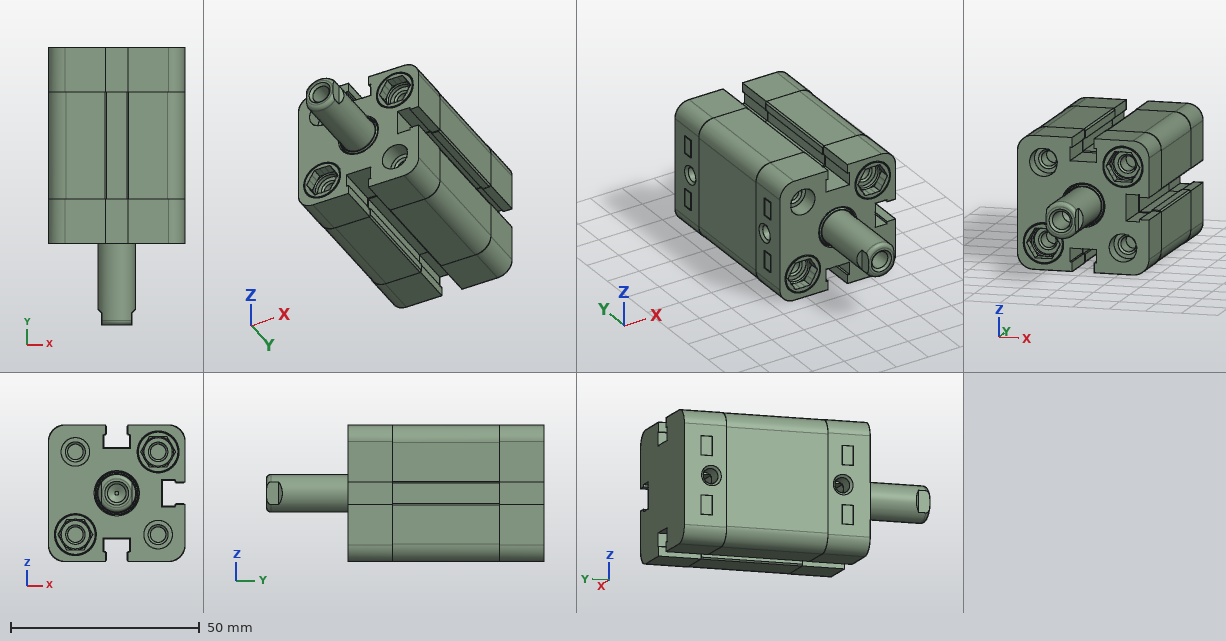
import cadquery as cq
import math


side = 36.3
total_length = 73.6
housing_length = 52.0
rod_reach = total_length - housing_length
cap_length = 11.85
tube_length = housing_length - 2 * cap_length
tube_front = cap_length
tube_rear = tube_front + tube_length
cap_corner_radius = 4.4
tube_corner_radius = 4.7
screw_offset = 11.0

cap_slot = (6.0, 7.3, 2.65, 6.3)
tube_slot = (5.45, 6.8, 2.5, 5.95)
tube_lip_chamfer = 0.45
slot_turns = (0, 90, 180)

rod_diameter = 10.0
rod_tip_radius = 1.2
flats_width = 8.0
flats_length = 3.25
rod_mouth_diameter = 6.3
rod_bore_diameter = 4.9
rod_bore_depth = 10.3
rod_bore_tip_diameter = 1.0
rod_bore_cone_length = 1.2

seal_mouth_diameter = 12.0
seal_groove_diameter = 11.4
seal_lip_diameter = 11.1
seal_rim_diameter = 10.45

ring_groove_depth = 0.7
head_recess_diameter = 11.1
head_diameter = 10.9
head_rim_diameter = 10.45
socket_width = 8.0
hex_depth = 2.95
relief_diameter = 8.2
socket_bore_diameter = 7.5
socket_depth = 4.4
screw_hole_diameter = 4.1
screw_hole_mouth = 5.15
screw_hole_end = 10.3

corner_hole_diameter = 7.6
corner_hole_depth = 4.7
corner_hole_mouth = 5.3

port_inset = 7.6
port_diameter = 4.1
port_mouth_diameter = 5.5
port_depth = 5.9
passage_height = 2.95
rod_end_inset = 6.1
label_inset = 6.25
label_offset = 8.0
label_length = 3.1
label_height = 5.2
label_depth = 0.2


def cylinder(diameter, length, x, y, z):
    """Cylinder that runs toward +Y from (x, y, z)."""
    return cq.Workplane(cq.Solid.makeCylinder(diameter / 2, length, cq.Vector(x, y, z), cq.Vector(0, 1, 0)))


def cone(start_diameter, end_diameter, length, x, y, z):
    """Cone that runs toward +Y from (x, y, z)."""
    return cq.Workplane(
        cq.Solid.makeCone(
            start_diameter / 2, end_diameter / 2, length, cq.Vector(x, y, z), cq.Vector(0, 1, 0)
        )
    )


def countersink(mouth_diameter, hole_diameter, x, y, z):
    """45-degree countersink that opens toward -Y."""
    return cone(mouth_diameter, hole_diameter, (mouth_diameter - hole_diameter) / 2, x, y, z)


def profile_block(front, length, corner_radius, slot, lip_chamfer):
    """Rounded square block with a T-slot in the +Z, +X and -Z sides."""
    center_y = front + length / 2
    block = cq.Workplane().box(side, length, side).edges("|Y").fillet(corner_radius)
    opening, inner_width, lip_depth, depth = slot
    top = side / 2
    half_opening = opening / 2
    half_inner = inner_width / 2
    right_half = [
        (half_opening + lip_chamfer, top),
        (half_opening, top - lip_chamfer),
        (half_opening, top - lip_depth),
        (half_inner, top - lip_depth),
        (half_inner, top - depth),
    ]
    if lip_chamfer == 0:
        right_half.pop(0)
    left_half = [(-x, z) for x, z in reversed(right_half)]
    cutter = cq.Workplane("XZ").polyline(right_half + left_half).close().extrude(length / 2, both=True)
    for turn in slot_turns:
        block = block.cut(cutter.rotate((0, 0, 0), (0, 1, 0), turn))
    return block.translate((0, center_y, 0))


def cut_port(cap, port_y, passage_start, passage_end):
    """Side port with a countersunk mouth and a flat passage that leads in to the rod."""
    port_start = cq.Vector(-side / 2, port_y, 0)
    inward = cq.Vector(1, 0, 0)
    mouth_depth = (port_mouth_diameter - port_diameter) / 2
    port = cq.Solid.makeCylinder(port_diameter / 2, port_depth, port_start, inward)
    mouth = cq.Solid.makeCone(port_mouth_diameter / 2, port_diameter / 2, mouth_depth, port_start, inward)
    passage = cq.Workplane().box(
        side / 2 - port_depth, passage_end - passage_start, passage_height, centered=(False, False, True)
    ).translate((port_depth - side / 2, passage_start, 0))
    return cap.cut(cq.Workplane(port)).cut(cq.Workplane(mouth)).cut(passage)


def cut_labels(cap, label_y):
    """Two shallow rectangular label recesses, above and below the port."""
    for z in (-label_offset, label_offset):
        label = cq.Workplane().box(2 * label_depth, label_length, label_height)
        cap = cap.cut(label.translate((-side / 2, label_y, z)))
    return cap


def cut_ring_groove(cap, groove_diameter, core_diameter, rim_diameter, x, z):
    """Narrow ring groove around a core whose front rim is chamfered."""
    chamfer_cone = cone(rim_diameter, rim_diameter + 2 * ring_groove_depth, ring_groove_depth, x, 0, z)
    core = cylinder(core_diameter, ring_groove_depth, x, 0, z).intersect(chamfer_cone)
    return cap.cut(cylinder(groove_diameter, ring_groove_depth, x, 0, z).cut(core))


def cut_screw_hole(cap, mouth_diameter, x, floor_y, z):
    """Countersunk blind hole in the floor of a corner recess."""
    cap = cap.cut(cylinder(screw_hole_diameter, screw_hole_end - floor_y, x, floor_y, z))
    return cap.cut(countersink(mouth_diameter, screw_hole_diameter, x, floor_y, z))


def cut_screw_head(cap, x, z):
    """Screw head: ring groove, hex socket with relieved flats, and a countersunk hole."""
    cap = cut_ring_groove(cap, head_recess_diameter, head_diameter, head_rim_diameter, x, z)
    hex_corners = socket_width / math.cos(math.pi / 6)
    cap = cap.cut(cq.Workplane("XZ").center(x, z).polygon(6, hex_corners).extrude(-hex_depth))
    cap = cap.cut(cylinder(relief_diameter, hex_depth, x, 0, z))
    cap = cap.cut(countersink(relief_diameter, socket_bore_diameter, x, hex_depth, z))
    cap = cap.cut(cylinder(socket_bore_diameter, socket_depth, x, 0, z))
    return cut_screw_hole(cap, screw_hole_mouth, x, socket_depth, z)


def make_front_cap():
    cap = profile_block(0, cap_length, cap_corner_radius, cap_slot, 0)
    cap = cap.cut(cylinder(rod_diameter, cap_length, 0, 0, 0))
    cap = cut_ring_groove(cap, seal_groove_diameter, seal_lip_diameter, seal_rim_diameter, 0, 0)
    seal_chamfer = (seal_mouth_diameter - seal_groove_diameter) / 2
    chamfer_ring = countersink(seal_mouth_diameter, seal_groove_diameter, 0, 0, 0)
    cap = cap.cut(chamfer_ring.cut(cylinder(seal_groove_diameter, seal_chamfer, 0, 0, 0)))
    for sign in (-1, 1):
        x = sign * screw_offset
        cap = cut_screw_head(cap, x, x)
        cap = cap.cut(cylinder(corner_hole_diameter, corner_hole_depth, x, 0, -x))
        cap = cut_screw_hole(cap, corner_hole_mouth, x, corner_hole_depth, -x)
    passage_half = port_diameter / 2
    cap = cut_port(cap, port_inset, port_inset - passage_half, port_inset + passage_half)
    return cut_labels(cap, label_inset)


def make_tube():
    tube = profile_block(tube_front, tube_length, tube_corner_radius, tube_slot, tube_lip_chamfer)
    return tube.cut(cylinder(rod_diameter, tube_length, 0, tube_front, 0))


def make_rear_cap():
    cap = profile_block(tube_rear, cap_length, cap_corner_radius, cap_slot, 0)
    rod_end = housing_length - rod_end_inset
    cap = cap.cut(cylinder(rod_diameter, rod_end - tube_rear, 0, tube_rear, 0))
    port_y = housing_length - port_inset
    cap = cut_port(cap, port_y, port_y - port_diameter / 2, rod_end)
    return cut_labels(cap, housing_length - label_inset)


def make_rod():
    """Piston rod with a rounded tip, two wrench flats and a blind bore in the tip."""
    length = rod_reach + housing_length - rod_end_inset
    rod = cylinder(rod_diameter, length, 0, -rod_reach, 0).faces("<Y").edges().fillet(rod_tip_radius)
    half_flats = flats_width / 2
    runout = (rod_diameter - flats_width) / 2
    flats_end = flats_length - rod_reach
    for sign in (-1, 1):
        flat = (
            cq.Workplane("XY")
            .polyline([
                (sign * half_flats, -rod_reach),
                (sign * half_flats, flats_end),
                (sign * (half_flats + runout), flats_end + runout),
                (sign * (half_flats + runout), -rod_reach),
            ])
            .close()
            .extrude(rod_diameter / 2, both=True)
        )
        rod = rod.cut(flat)
    bore_end = rod_bore_depth - rod_reach
    rod = rod.cut(cylinder(rod_bore_diameter, rod_bore_depth, 0, -rod_reach, 0))
    rod = rod.cut(countersink(rod_mouth_diameter, rod_bore_diameter, 0, -rod_reach, 0))
    return rod.cut(cone(rod_bore_diameter, rod_bore_tip_diameter, rod_bore_cone_length, 0, bore_end, 0))


front_cap = make_front_cap()
tube = make_tube()
rear_cap = make_rear_cap()
rod = make_rod()

result = cq.Compound.makeCompound([
    *front_cap.solids().vals(),
    *tube.solids().vals(),
    *rear_cap.solids().vals(),
    *rod.solids().vals(),
])